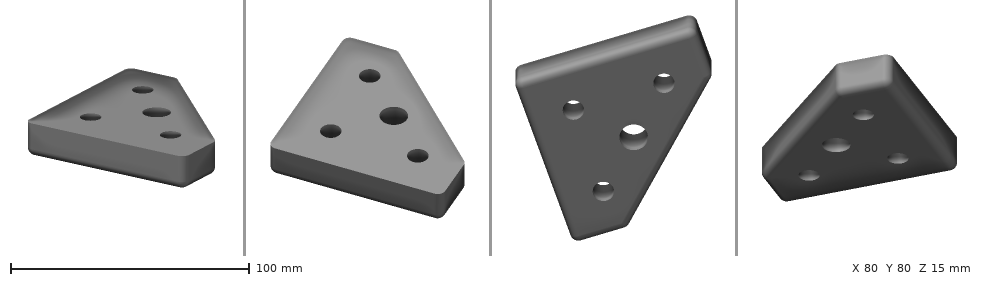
import cadquery as cq

side = 80.0
thickness = 15.0
short_edge = 24.0
edge_radius = 3.5

hole_inset = 20.0
hole_pitch = 40.0
small_hole_diameter = 9.0
center_hole_diameter = 12.0


def plate_blank():
    """Plate with rounded corners and a rounded bottom edge."""
    outline = [
        (0, 0),
        (side, 0),
        (side, short_edge),
        (short_edge, side),
        (0, side),
    ]
    blank = cq.Workplane("XY").polyline(outline).close().extrude(thickness)
    blank = blank.edges("|Z").fillet(edge_radius)
    return blank.faces("<Z").edges().fillet(edge_radius)


def through_holes(points, diameter):
    """Vertical cylinders that cut through the full thickness."""
    return cq.Workplane("XY").pushPoints(points).circle(diameter / 2).extrude(thickness)


far_hole = hole_inset + hole_pitch
corner_points = [(hole_inset, hole_inset), (far_hole, hole_inset), (hole_inset, far_hole)]
center_point = (side / 2, side / 2)

result = (
    plate_blank()
    .cut(through_holes(corner_points, small_hole_diameter))
    .cut(through_holes([center_point], center_hole_diameter))
)